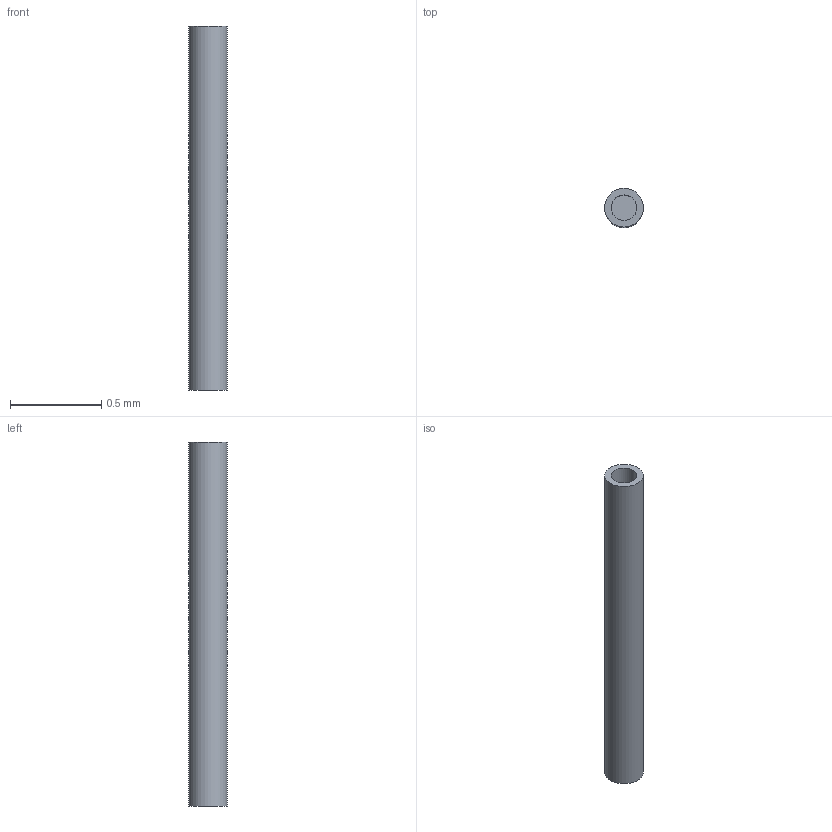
import cadquery as cq

LENGTH = 2.0
OUTER_DIAMETER = 0.213
BORE_DIAMETER = 0.14
BORE_DEPTH = LENGTH / 2


def make_pin():
    """Cylinder standing on the XY plane, centred on the Z axis."""
    return cq.Workplane("XY").circle(OUTER_DIAMETER / 2).extrude(LENGTH)


def make_bore():
    """Blind bore cutter, sunk from the top end face."""
    top_plane = cq.Workplane("XY").workplane(offset=LENGTH)
    return top_plane.circle(BORE_DIAMETER / 2).extrude(-BORE_DEPTH)


result = make_pin().cut(make_bore())